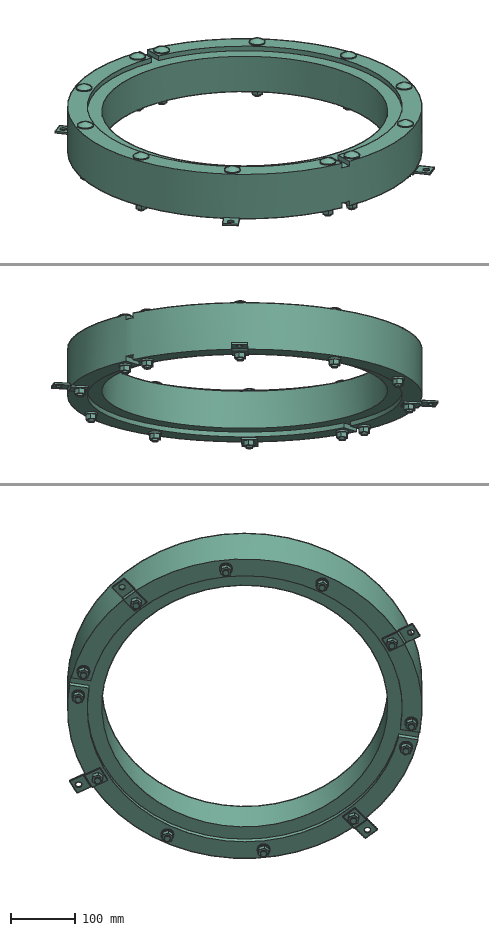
import cadquery as cq
import math

outer_diameter = 550.0
bore_diameter = 443.5
layer_count = 3
layer_height = 20.0
core_height = layer_count * layer_height

plate_inner_diameter = 488.5
plate_thickness = 7.5
plate_gap = 14.0
ring_height = core_height + 2 * plate_thickness

bolt_circle_radius = 259.5
bolts_per_half = 6
bolt_pitch_angle = 34.0
half_centre_angle = 90.0
bolt_diameter = 10.0
head_diameter = 25.0
head_height = 6.5
head_rim_height = 1.5
washer_diameter = 20.0
washer_thickness = 3.0
nut_across_flats = 15.5
nut_height = 7.5
bolt_protrusion = 3.0

tab_thickness = washer_thickness
tab_width = 25.0
tab_inner_radius = 248.5
tab_outer_radius = 302.5
tab_step_start_radius = 275.5
tab_step_length = 3.0
tab_step_rise = tab_thickness
tab_hole_radius = 293.0
tab_hole_diameter = 10.0

ring_top = ring_height / 2
ring_bottom = -ring_top
washer_bottom = ring_bottom - washer_thickness
nut_bottom = washer_bottom - nut_height
bolt_bottom = nut_bottom - bolt_protrusion


def bolt_angles():
    """Angles of all bolts, and of the tab bolts among them, in degrees from +X."""
    first = half_centre_angle - bolt_pitch_angle * (bolts_per_half - 1) / 2
    half = [first + i * bolt_pitch_angle for i in range(bolts_per_half)]
    tab_half = [half[1], half[-2]]
    return half + [-a for a in half], tab_half + [-a for a in tab_half]


def cylinder(diameter, bottom, height):
    return cq.Workplane("XY").workplane(offset=bottom).circle(diameter / 2).extrude(height)


def ring(inner_diameter, bottom, height):
    return cylinder(outer_diameter, bottom, height).cut(cylinder(inner_diameter, bottom, height))


def split_plate(bottom):
    gap = cq.Workplane("XY").box(2 * outer_diameter, plate_gap, 2 * ring_height)
    return ring(plate_inner_diameter, bottom, plate_thickness).cut(gap)


def domed_head():
    """A short cylindrical rim closed by a spherical cap."""
    head_radius = head_diameter / 2
    cap_height = head_height - head_rim_height
    cap_sphere_radius = (head_radius**2 + cap_height**2) / (2 * cap_height)
    return (
        cq.Workplane("XZ")
        .moveTo(0, ring_top)
        .lineTo(head_radius, ring_top)
        .lineTo(head_radius, ring_top + head_rim_height)
        .radiusArc((0, ring_top + head_height), -cap_sphere_radius)
        .close()
        .revolve(360, (0, 0), (0, 1))
    )


def bolt_set():
    """One bolt with its head, washer and nut, standing on the Z axis."""
    shank = cylinder(bolt_diameter, bolt_bottom, ring_top - bolt_bottom)
    washer = cylinder(washer_diameter, washer_bottom, washer_thickness)
    across_corners = nut_across_flats / math.cos(math.radians(30))
    flats_facing_x = 30
    nut = (
        cq.Workplane("XY")
        .workplane(offset=nut_bottom)
        .transformed(rotate=(0, 0, flats_facing_x))
        .polygon(6, across_corners)
        .extrude(nut_height)
    )
    return shank.union(washer).union(nut).union(domed_head())


def mounting_tab():
    """A tab pointing along +X: flat under the plate, stepped up just outside the ring."""
    step_end_radius = tab_step_start_radius + tab_step_length
    top_line = [
        (tab_inner_radius, ring_bottom),
        (tab_step_start_radius, ring_bottom),
        (step_end_radius, ring_bottom + tab_step_rise),
        (tab_outer_radius, ring_bottom + tab_step_rise),
    ]
    bottom_line = [(r, z - tab_thickness) for r, z in reversed(top_line)]
    strip = (
        cq.Workplane("XZ")
        .polyline(top_line + bottom_line)
        .close()
        .extrude(tab_width / 2, both=True)
    )
    hole = cylinder(tab_hole_diameter, 2 * ring_bottom, ring_height).translate((tab_hole_radius, 0, 0))
    return strip.cut(hole)


def at_angle(part, angle, radius):
    """Move an upright part out to a point on a circle without turning it."""
    a = math.radians(angle)
    return part.translate((radius * math.cos(a), radius * math.sin(a), 0))


core = ring(bore_diameter, -core_height / 2, core_height)
result = core.union(split_plate(core_height / 2)).union(split_plate(ring_bottom))

all_angles, tab_angles = bolt_angles()

tab = mounting_tab()
for angle in tab_angles:
    result = result.union(tab.rotate((0, 0, 0), (0, 0, 1), angle))

bolt = bolt_set()
for angle in all_angles:
    result = result.union(at_angle(bolt, angle, bolt_circle_radius))